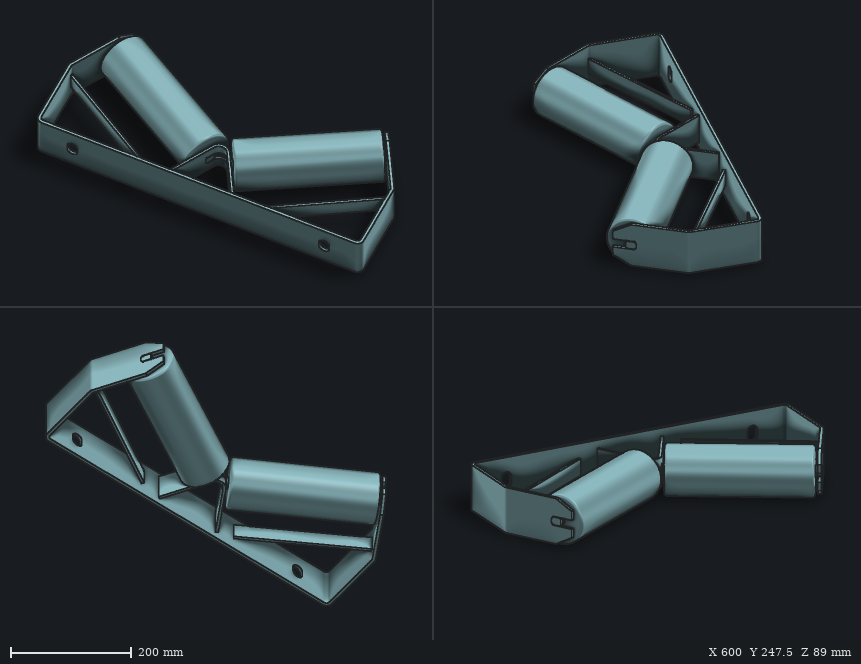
import cadquery as cq
import math

TILT = 30.0
SIDES = (-1, 1)

FRAME_LENGTH = 600.0
FRAME_HEIGHT = 81.0
PLATE = 6.0
BEND_INNER = 6.0
BEND_OUTER = BEND_INNER + PLATE
WALL_END = 126.5
ARM_LENGTH = 127.0
ARM_CHAMFER_LENGTH = 31.0
ARM_CHAMFER_WIDTH = 17.0

MOUNT_SLOT_SPACING = 464.0
MOUNT_SLOT_WIDTH = 19.0
MOUNT_SLOT_LENGTH = 28.0

ROLLER_DIAMETER = 89.0
ROLLER_LENGTH = 251.0
ROLLER_FILLET = 5.0
ROLLER_TOP = 247.5
ARM_GAP = 4.5
BRACKET_GAP = 4.5

SPINDLE_DIAMETER = 20.0
SPINDLE_SHOULDER = 4.0
SPINDLE_FLAT = 14.0
SPINDLE_TOP_FLAT = 8.5
SPINDLE_SLOT_WIDTH = 16.0

BRACKET_HEIGHT = 53.0
BRACKET_PLATE = 5.0
BRACKET_OUTER_RADIUS = 19.0
BRACKET_INNER_RADIUS = BRACKET_OUTER_RADIUS - BRACKET_PLATE

STRUT_HEIGHT = 30.0
STRUT_PLATE = 5.0
STRUT_FOOT_X = 97.0
STRUT_ANGLE = 31.0

SIN = math.sin(math.radians(TILT))
COS = math.cos(math.radians(TILT))
HALF_LENGTH = FRAME_LENGTH / 2
BEND_X = HALF_LENGTH - BEND_OUTER

ARM_OUTER_FACE = BEND_X * COS + WALL_END * SIN + BEND_OUTER
ROLLER_OUTER_END = ARM_OUTER_FACE - PLATE - ARM_GAP
ROLLER_MIDDLE = ROLLER_OUTER_END - ROLLER_LENGTH / 2
BRACKET_FACE = ROLLER_MIDDLE - ROLLER_LENGTH / 2 - BRACKET_GAP
BRACKET_CENTRE_Y = (BRACKET_FACE - BRACKET_OUTER_RADIUS) / SIN

ROLLER_Y = (
    ROLLER_TOP
    - ROLLER_FILLET
    - (ROLLER_LENGTH / 2 - ROLLER_FILLET) * SIN
    - (ROLLER_DIAMETER / 2 - ROLLER_FILLET) * COS
)
ROLLER_X = (ROLLER_MIDDLE - ROLLER_Y * SIN) / COS
AXIS_OFFSET = ROLLER_Y * COS - ROLLER_X * SIN


def roller_plane(side, along_axis=0.0):
    """Plane square to a roller axis, at a distance outward from the roller's middle.

    Local x runs up the arm and the normal points to the outer end.
    """
    return cq.Plane(
        origin=(side * (ROLLER_X + along_axis * COS), ROLLER_Y + along_axis * SIN, 0),
        xDir=(-side * SIN, COS, 0),
        normal=(side * COS, SIN, 0),
    )


def right_point(along_axis, up_arm):
    """XY point on the right half from its distances along and square to the roller axis."""
    return (along_axis * COS - up_arm * SIN, along_axis * SIN + up_arm * COS)


def mirrored_pair(right_body):
    """The right body followed by its mirror image on the left."""
    return [right_body, right_body.mirror("YZ")]


def axis_cylinder(side, diameter, length):
    """Cylinder on a roller axis, centred on the roller's middle."""
    return cq.Workplane(roller_plane(side, -length / 2)).circle(diameter / 2).extrude(length)


def flatted_bar(side, width):
    """Round bar with a flat on top and on both sides, ending flush with the carrying plates."""
    outer_reach = ROLLER_OUTER_END - ROLLER_MIDDLE + ARM_GAP + PLATE
    inner_reach = ROLLER_MIDDLE - BRACKET_FACE + BRACKET_PLATE
    radius = SPINDLE_DIAMETER / 2
    start = roller_plane(side, -inner_reach)
    bar = cq.Workplane(start).circle(radius).extrude(inner_reach + outer_reach)
    flats = (
        cq.Workplane(start)
        .center((SPINDLE_TOP_FLAT - radius) / 2, 0)
        .rect(SPINDLE_TOP_FLAT + radius, width)
        .extrude(inner_reach + outer_reach)
    )
    return bar.intersect(flats)


def spindle_slots(side):
    """Cutter for the two open slots that let a spindle drop in from above.

    It clears the arm at the outer end and one half of the bracket's crown at the inner end.
    """
    reach = ROLLER_LENGTH / 2 + BRACKET_GAP + BRACKET_OUTER_RADIUS
    mouth = (
        cq.Workplane(roller_plane(side))
        .center(ARM_LENGTH / 2, 0)
        .box(ARM_LENGTH, SPINDLE_SLOT_WIDTH, 2 * reach)
    )
    return mouth.union(flatted_bar(side, SPINDLE_SLOT_WIDTH))


def make_frame():
    """Bent strip: base, two upright walls and two arms square to the roller axes."""
    half_bend = math.radians(TILT / 2)

    def bend_point(radius, angle):
        return (BEND_X + radius * math.cos(angle), WALL_END + radius * math.sin(angle))

    bend_end = math.radians(TILT)
    outer_end = bend_point(BEND_OUTER, bend_end)
    inner_end = bend_point(BEND_INNER, bend_end)
    tip_shift = (-ARM_LENGTH * SIN, ARM_LENGTH * COS)
    outer_tip = (outer_end[0] + tip_shift[0], outer_end[1] + tip_shift[1])
    inner_tip = (inner_end[0] + tip_shift[0], inner_end[1] + tip_shift[1])
    diagonal = math.sqrt(0.5)
    half = (
        cq.Workplane("XY")
        .moveTo(0, 0)
        .lineTo(BEND_X, 0)
        .threePointArc(
            (BEND_X + BEND_OUTER * diagonal, BEND_OUTER - BEND_OUTER * diagonal),
            (HALF_LENGTH, BEND_OUTER),
        )
        .lineTo(HALF_LENGTH, WALL_END)
        .threePointArc(bend_point(BEND_OUTER, half_bend), outer_end)
        .lineTo(*outer_tip)
        .lineTo(*inner_tip)
        .lineTo(*inner_end)
        .threePointArc(bend_point(BEND_INNER, half_bend), bend_point(BEND_INNER, 0))
        .lineTo(HALF_LENGTH - PLATE, BEND_OUTER)
        .threePointArc(
            (BEND_X + BEND_INNER * diagonal, BEND_OUTER - BEND_INNER * diagonal),
            (BEND_X, PLATE),
        )
        .lineTo(0, PLATE)
        .close()
        .extrude(FRAME_HEIGHT / 2, both=True)
    )
    frame = half.union(half.mirror("YZ"))

    tip = outer_tip[1] * COS - outer_tip[0] * SIN - AXIS_OFFSET
    edge = FRAME_HEIGHT / 2
    for side in SIDES:
        for z_side in SIDES:
            corner = (
                cq.Workplane(roller_plane(side))
                .polyline([
                    (tip, z_side * edge),
                    (tip - ARM_CHAMFER_LENGTH, z_side * edge),
                    (tip, z_side * (edge - ARM_CHAMFER_WIDTH)),
                ])
                .close()
                .extrude(ROLLER_LENGTH)
            )
            frame = frame.cut(corner)
        frame = frame.cut(spindle_slots(side))

    mount_slots = (
        cq.Workplane("XZ")
        .pushPoints([(side * MOUNT_SLOT_SPACING / 2, 0) for side in SIDES])
        .slot2D(MOUNT_SLOT_LENGTH, MOUNT_SLOT_WIDTH, 90)
        .extrude(PLATE, both=True)
    )
    return frame.cut(mount_slots)


def make_bracket():
    """Inverted V with a round crown, standing on the base between the rollers."""
    inner_face = BRACKET_FACE - BRACKET_PLATE
    foot = (PLATE - inner_face * SIN) / COS
    crown = BRACKET_CENTRE_Y * COS
    outer_foot = right_point(BRACKET_FACE, foot)
    inner_foot = right_point(inner_face, foot)
    outer_tangent = right_point(BRACKET_FACE, crown)
    inner_tangent = right_point(inner_face, crown)
    bracket = (
        cq.Workplane("XY")
        .moveTo(*outer_foot)
        .lineTo(*outer_tangent)
        .threePointArc(
            (0, BRACKET_CENTRE_Y + BRACKET_OUTER_RADIUS),
            (-outer_tangent[0], outer_tangent[1]),
        )
        .lineTo(-outer_foot[0], outer_foot[1])
        .lineTo(-inner_foot[0], inner_foot[1])
        .lineTo(-inner_tangent[0], inner_tangent[1])
        .threePointArc((0, BRACKET_CENTRE_Y + BRACKET_INNER_RADIUS), inner_tangent)
        .lineTo(*inner_foot)
        .close()
        .extrude(BRACKET_HEIGHT / 2, both=True)
    )
    for side in SIDES:
        bracket = bracket.cut(spindle_slots(side))
    return bracket


def make_strut():
    """Flat brace on the right, from the base up to the inner corner of the arm bend."""
    angle = math.radians(STRUT_ANGLE)
    rise = math.tan(angle)
    wall = HALF_LENGTH - PLATE
    upper_foot = (
        STRUT_FOOT_X - STRUT_PLATE * math.sin(angle),
        PLATE + STRUT_PLATE * math.cos(angle),
    )
    lower_top = PLATE + (wall - STRUT_FOOT_X) * rise
    upper_top = upper_foot[1] + (wall - upper_foot[0]) * rise
    return (
        cq.Workplane("XY")
        .polyline([(STRUT_FOOT_X, PLATE), (wall, lower_top), (wall, upper_top), upper_foot])
        .close()
        .extrude(STRUT_HEIGHT / 2, both=True)
    )


def make_roller(side):
    """Roller drum with rounded rims, in one piece with its flatted spindle."""
    drum = (
        axis_cylinder(side, ROLLER_DIAMETER, ROLLER_LENGTH)
        .edges("%CIRCLE")
        .fillet(ROLLER_FILLET)
    )
    shoulders = axis_cylinder(side, SPINDLE_DIAMETER, ROLLER_LENGTH + 2 * SPINDLE_SHOULDER)
    return drum.union(shoulders).union(flatted_bar(side, SPINDLE_FLAT))


frame = make_frame()
bracket = make_bracket()
struts = mirrored_pair(make_strut().cut(frame))
rollers = [make_roller(side) for side in SIDES]

bodies = [frame, bracket, *struts, *rollers]
result = cq.Compound.makeCompound([body.val() for body in bodies])